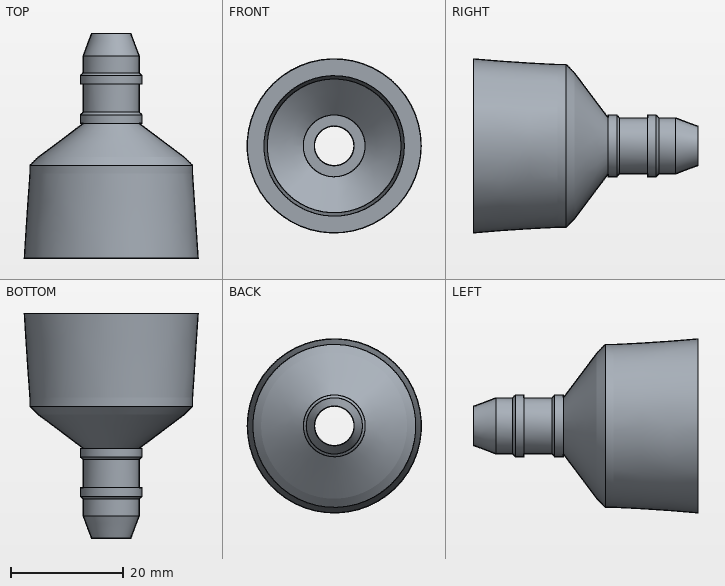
import cadquery as cq

total_length = 40.0
skirt_length = 15.0
band_length = 1.5
shoulder_end = 18.0
cone_end = 24.0
barb_pitch = 7.0
barb_length = 2.0
barb_chamfer = 0.5
nose_length = 4.0

mouth_radius = 31.0 / 2
band_radius = 29.0 / 2
shoulder_radius = 13.0
barb_radius = 11.0 / 2
stem_radius = 10.0 / 2
bore_radius = 7.0 / 2

socket_mouth_radius = 25.0 / 2
socket_inner_radius = 23.8 / 2
socket_depth = 9.0
socket_floor_radius = 11.0 / 2
socket_floor_depth = skirt_length


def barb_points(start):
    """Outline of one hose barb: a straight collar chamfered towards the tip."""
    end = start + barb_length
    return [
        (barb_radius, start),
        (barb_radius, end - barb_chamfer),
        (stem_radius, end),
    ]


first_barb = cone_end
second_barb = first_barb + barb_pitch
outside = [
    (mouth_radius, 0),
    (band_radius, skirt_length),
    (band_radius, skirt_length + band_length),
    (shoulder_radius, shoulder_end),
    (stem_radius, first_barb),
    *barb_points(first_barb),
    (stem_radius, second_barb),
    *barb_points(second_barb),
    (stem_radius, total_length - nose_length),
    (bore_radius, total_length),
]
inside = [
    (bore_radius, socket_floor_depth),
    (socket_floor_radius, socket_floor_depth),
    (socket_inner_radius, socket_depth),
    (socket_mouth_radius, 0),
]

section = cq.Workplane("XY").polyline(outside + inside).close()
result = section.revolve(360, (0, 0, 0), (0, 1, 0))